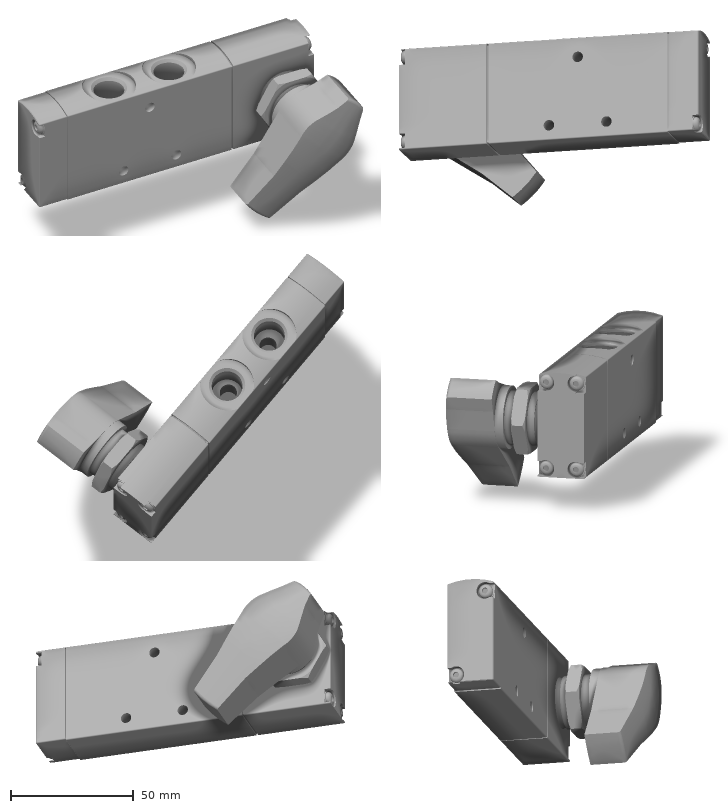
import cadquery as cq
import math

body_width = 19.8
body_height = 43.65
crown_rise = 1.55
edge_fillet = 0.45

front_block_end = 12.6
body_front = 13.0
body_back = 88.2
rear_block_start = 89.0
rear_end = 126.0
gasket_inset = 0.6
front_cap_inset = 0.4
front_cap_chamfer = 0.3

pattern_y = 50.75
port_offset = 13.75
port_spotface_diameter = 22.0
port_spotface_depth = 1.5
port_diameter = 12.6
port_mouth_diameter = 14.8
port_depth = 12.0
passage_offset = 12.9
passage_diameter = 7.0
passage_depth = 10.0
mounting_hole_diameter = 4.4
upper_hole_z = 34.1
lower_hole_z = 6.1
lower_hole_offset = 12.1

screw_inset = 3.6
front_upper_screw_z = 38.4
rear_upper_screw_z = 39.4
rear_upper_opening_width = 7.6
recess_diameter = 7.0
recess_depth = 2.6
side_opening_width = 6.0
screw_flange_diameter = 6.8
screw_flange_height = 0.4
screw_head_diameter = 5.92
screw_head_height = 2.3
screw_socket_diameter = 2.46
screw_socket_depth = 1.0
screw_dome_radius = 1.6

operator_y = 111.9
operator_z = 21.0
neck_end = 22.0
neck_end_radius = 10.6
neck_waist_diameter = 20.38
stem_diameter = 22.0
nut_start = 25.0
nut_end = 30.85
nut_across_flats = 27.0
nut_face_diameter = 28.5
collar_start = 34.65
collar_diameter = 26.0
knob_start = 38.15
knob_top = 59.5

knob_tilt = 45.0
knob_round_radius = 13.2
lever_length = 40.93
lever_end_half_width = 7.15
lever_waist_length = 24.0
lever_waist_half_width = 8.6
tail_length = 19.94
tail_end_half_width = 4.75
tail_waist_length = 14.5
tail_waist_half_width = 7.1
flank_front = (-3.75, 12.66)
flank_back = (6.6, 11.43)
end_bulge = 0.6
knob_crown_radius = 60.0
knob_arch_radius = 95.0
knob_apex = 0.5
crown_arch_angle = 21.0
crown_half_width = 18.0
crown_section_depth = 30.0
knob_slope_angle = 10.3
knob_end_fillet = 1.3
blank_margin = 2.0


def crowned_block(y_start, y_end, left=0.0, bottom=0.0, right=body_width, drop=0.0):
    """Block along Y whose top is a crown; `drop` lowers the top."""
    edge_z = body_height - crown_rise - drop
    middle_x = (left + right) / 2
    return (
        cq.Workplane("XZ", origin=(0, y_start, 0))
        .moveTo(left, bottom)
        .lineTo(right, bottom)
        .lineTo(right, edge_z)
        .threePointArc((middle_x, body_height - drop), (left, edge_z))
        .close()
        .extrude(y_start - y_end)
    )


def joint_strip(y_start, y_end):
    """Thin strip that leaves a groove between a cap and the valve body."""
    return crowned_block(
        y_start, y_end, gasket_inset, gasket_inset, body_width - gasket_inset, gasket_inset
    )


def cylinder_y(x, z, diameter, y_start, length):
    """Cylinder along Y; a negative length runs toward -Y."""
    return cq.Workplane("XZ", origin=(x, y_start, z)).circle(diameter / 2).extrude(-length)


def add_screw(cap, x, z, face_y, inward, opening_width=side_opening_width):
    """Cut a side-open recess into an end face and put a domed screw in it.

    `inward` is +1 or -1, the Y direction from the end face into the cap.
    """
    outward_x = -body_width if x < body_width / 2 else body_width
    recess = cylinder_y(x, z, recess_diameter, face_y, inward * recess_depth)
    side_opening = (
        cq.Workplane("XZ", origin=(0, face_y, 0))
        .center(x + outward_x / 2, z)
        .rect(body_width, opening_width)
        .extrude(-inward * recess_depth)
    )
    floor_y = face_y + inward * recess_depth
    flange = cylinder_y(x, z, screw_flange_diameter, floor_y, -inward * screw_flange_height)
    head = cylinder_y(x, z, screw_head_diameter, floor_y, -inward * screw_head_height)
    head = head.faces("<Y" if inward > 0 else ">Y").edges().fillet(screw_dome_radius)
    head_top_y = floor_y - inward * screw_head_height
    socket = cylinder_y(x, z, screw_socket_diameter, head_top_y, inward * screw_socket_depth)
    return cap.cut(recess).cut(side_opening).union(flange).union(head).cut(socket)


def make_port(side):
    """Cutter for one port; `side` is +1 or -1 from the middle of the pattern."""
    port_y = pattern_y + side * port_offset
    floor_z = body_height - port_spotface_depth
    middle_x = body_width / 2
    mouth_chamfer = (port_mouth_diameter - port_diameter) / 2
    spotface = (
        cq.Workplane("XY", origin=(middle_x, port_y, floor_z))
        .circle(port_spotface_diameter / 2)
        .extrude(port_spotface_depth)
    )
    bore = (
        cq.Workplane("XY", origin=(middle_x, port_y, floor_z))
        .circle(port_diameter / 2)
        .extrude(-port_depth)
    )
    mouth = (
        cq.Workplane("XY", origin=(middle_x, port_y, floor_z))
        .circle(port_mouth_diameter / 2)
        .workplane(offset=-mouth_chamfer)
        .circle(port_diameter / 2)
        .loft()
    )
    passage = (
        cq.Workplane("XY", origin=(middle_x, pattern_y + side * passage_offset, floor_z))
        .circle(passage_diameter / 2)
        .extrude(-port_depth - passage_depth)
    )
    return spotface.union(bore).union(mouth).union(passage)


def make_valve_body():
    body = crowned_block(body_front, body_back).edges("|Y").fillet(edge_fillet)
    for side in (-1, 1):
        body = body.cut(make_port(side))
    hole_places = [
        (pattern_y, upper_hole_z),
        (pattern_y - lower_hole_offset, lower_hole_z),
        (pattern_y + lower_hole_offset, lower_hole_z),
    ]
    holes = (
        cq.Workplane("YZ")
        .pushPoints(hole_places)
        .circle(mounting_hole_diameter / 2)
        .extrude(body_width)
    )
    return body.cut(holes)


def make_front_cap():
    cap = crowned_block(0, front_block_end, front_cap_inset, front_cap_inset)
    cap = cap.edges("|Y").fillet(edge_fillet)
    cap = cap.faces("<Y").edges().chamfer(front_cap_chamfer)
    cap = cap.union(joint_strip(front_block_end, body_front))
    cap = add_screw(cap, front_cap_inset + screw_inset, screw_inset, 0, 1)
    return add_screw(cap, body_width - screw_inset, front_upper_screw_z, 0, 1)


def make_rear_cap():
    cap = crowned_block(rear_block_start, rear_end).edges("|Y").fillet(edge_fillet)
    cap = cap.union(joint_strip(body_back, rear_block_start))
    for x in (screw_inset, body_width - screw_inset):
        cap = add_screw(cap, x, screw_inset, rear_end, -1)
        cap = add_screw(cap, x, rear_upper_screw_z, rear_end, -1, rear_upper_opening_width)
    return cap


def cylinder_x(diameter, x_start, x_end):
    """Cylinder on the operator axis."""
    return (
        cq.Workplane("YZ", origin=(x_start, operator_y, operator_z))
        .circle(diameter / 2)
        .extrude(x_end - x_start)
    )


def make_neck():
    """Short neck with a hollow waist between the rear cap and the stem."""
    axis_point = (body_width, operator_y, operator_z)
    neck_length = neck_end - body_width
    return (
        cq.Workplane("XY", origin=axis_point)
        .lineTo(0, neck_end_radius)
        .threePointArc((neck_length / 2, neck_waist_diameter / 2), (neck_length, neck_end_radius))
        .lineTo(neck_length, 0)
        .close()
        .revolve(360, (0, 0, 0), (1, 0, 0))
    )


def make_nut():
    """Hexagon nut with corners to +Y and -Y, both faces chamfered at 30 degrees."""
    across_corners = nut_across_flats / math.cos(math.radians(30))
    thickness = nut_end - nut_start
    corner_radius = across_corners / 2
    face_radius = nut_face_diameter / 2
    chamfer_height = (corner_radius - face_radius) * math.tan(math.radians(30))
    hexagon = (
        cq.Workplane("YZ", origin=(nut_start, operator_y, operator_z))
        .polygon(6, across_corners)
        .extrude(thickness)
    )
    turned_blank = (
        cq.Workplane("XY", origin=(nut_start, operator_y, operator_z))
        .lineTo(0, face_radius)
        .lineTo(chamfer_height, corner_radius)
        .lineTo(thickness - chamfer_height, corner_radius)
        .lineTo(thickness, face_radius)
        .lineTo(thickness, 0)
        .close()
        .revolve(360, (0, 0, 0), (1, 0, 0))
    )
    return hexagon.intersect(turned_blank)


def crown_section():
    """Crown section on the plane where the arch meets the slope.

    Local x runs across the lever, local y points up out of the knob, and the plane's
    normal points down the slope.
    """
    slope = math.radians(knob_slope_angle)
    crown_drop = knob_crown_radius - math.sqrt(knob_crown_radius**2 - crown_half_width**2)
    section_plane = cq.Plane(
        origin=(
            knob_top - knob_arch_radius * (1 - math.cos(slope)),
            knob_apex - knob_arch_radius * math.sin(slope),
            0,
        ),
        xDir=(0, 0, -1),
        normal=(-math.sin(slope), -math.cos(slope), 0),
    )
    return (
        cq.Workplane(section_plane)
        .moveTo(-crown_half_width, -crown_section_depth)
        .lineTo(crown_half_width, -crown_section_depth)
        .lineTo(crown_half_width, -crown_drop)
        .threePointArc((0, 0), (-crown_half_width, -crown_drop))
        .close()
    )


def make_crown_envelope():
    """Solid under the knob's top: a crown revolved along the arch, then run down the slope."""
    sloped_part = crown_section().extrude(lever_length)
    arched_part = crown_section().revolve(
        crown_arch_angle + knob_slope_angle, (1, -knob_arch_radius, 0), (0, -knob_arch_radius, 0)
    )
    return arched_part.union(sloped_part)


def make_knob():
    """Lever knob built along +Y about the X axis, then tilted and moved into place."""
    back_along, back_across = flank_back
    front_along, front_across = flank_front
    blank = (
        cq.Workplane("YZ", origin=(knob_start, 0, 0))
        .moveTo(tail_length, tail_end_half_width)
        .lineTo(tail_waist_length, tail_waist_half_width)
        .lineTo(back_along, back_across)
        .threePointArc((0, knob_round_radius), (front_along, front_across))
        .lineTo(-lever_waist_length, lever_waist_half_width)
        .lineTo(-lever_length, lever_end_half_width)
        .threePointArc((-lever_length - end_bulge, 0), (-lever_length, -lever_end_half_width))
        .lineTo(-lever_waist_length, -lever_waist_half_width)
        .lineTo(front_along, -front_across)
        .threePointArc((0, -knob_round_radius), (back_along, -back_across))
        .lineTo(tail_waist_length, -tail_waist_half_width)
        .lineTo(tail_length, -tail_end_half_width)
        .threePointArc((tail_length + end_bulge, 0), (tail_length, tail_end_half_width))
        .close()
        .extrude(knob_top - knob_start + blank_margin)
    )
    knob = blank.intersect(make_crown_envelope())
    lever_edge = knob.faces("<Y").edges(">X")
    tail_edge = knob.faces(">Y").edges(">X")
    knob = knob.newObject([lever_edge.val(), tail_edge.val()]).fillet(knob_end_fillet)
    knob = knob.rotate((0, 0, 0), (1, 0, 0), knob_tilt)
    return knob.translate((0, operator_y, operator_z))


def make_operator():
    stem = cylinder_x(stem_diameter, neck_end, collar_start)
    collar = cylinder_x(collar_diameter, collar_start, knob_start)
    return make_neck().union(stem).union(make_nut()).union(collar).union(make_knob())


valve_body = make_valve_body()
front_cap = make_front_cap()
rear_cap = make_rear_cap()
operator = make_operator()

result = cq.Compound.makeCompound(
    [valve_body.val(), front_cap.val(), rear_cap.val(), operator.val()]
)